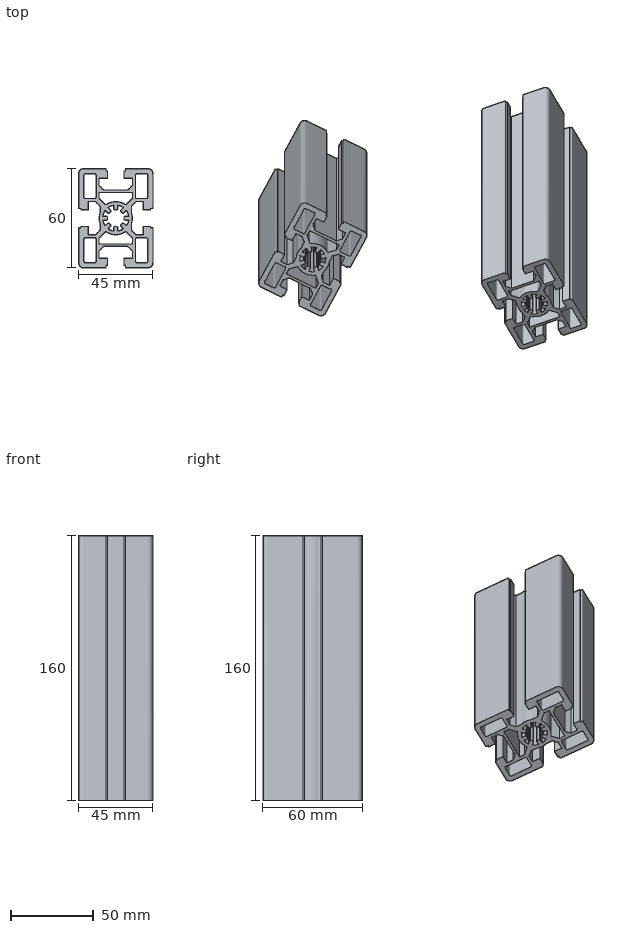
import cadquery as cq
import math

length = 160.0
size_x = 45.0
size_y = 60.0
corner_radius = 3.0

mouth_width = 10.0
step_width = 0.8
step_depth = 1.5
step_rounding = 0.5
lip_thickness = 6.0
slot_width = 20.0
slot_depth = 13.0
slot_chamfer = 2.7

outer_wall = 3.2
inner_wall = 2.0
hollow_radius = 0.8

tube_radius = 10.0
bore_radius = 7.8
tooth_count = 8
tooth_width = 2.5
tooth_tip_radius = 5.0
tooth_tip_chamfer = 0.5
web_thickness = 1.6
spoke_width = 2.9
spoke_fillet = 0.6


def prism(outline):
    """Extrude a closed outline over the full length."""
    return outline.extrude(length)


def four_corners(shape):
    """Mirror a shape from the +X +Y quadrant into all four quadrants."""
    half = shape.union(shape.mirror("YZ"))
    return half.union(half.mirror("XZ"))


def t_slot(side_distance):
    """T-slot cutter from +Y, with rounded steps along its mouth at y = side_distance."""
    mouth = mouth_width / 2
    half_width = slot_width / 2
    lip_y = side_distance - lip_thickness
    floor_y = side_distance - slot_depth
    step_x = mouth + step_width
    round_mid = step_rounding * (1 - math.sqrt(0.5))
    outline = (
        cq.Workplane("XY")
        .moveTo(step_x + step_rounding, side_distance)
        .threePointArc(
            (step_x + round_mid, side_distance - round_mid),
            (step_x, side_distance - step_rounding),
        )
        .lineTo(step_x, side_distance - step_depth)
        .lineTo(mouth, side_distance - step_depth)
        .lineTo(mouth, lip_y)
        .lineTo(half_width, lip_y)
        .lineTo(half_width, floor_y + slot_chamfer)
        .lineTo(half_width - slot_chamfer, floor_y)
        .lineTo(0, floor_y)
        .lineTo(0, side_distance)
        .close()
    )
    half_slot = prism(outline)
    return half_slot.union(half_slot.mirror("YZ"))


def corner_hollows():
    """Four rounded rectangular hollows."""
    near = slot_width / 2 + inner_wall
    far_x = size_x / 2 - outer_wall
    far_y = size_y / 2 - outer_wall
    hollow = prism(
        cq.Workplane("XY")
        .center((near + far_x) / 2, (near + far_y) / 2)
        .rect(far_x - near, far_y - near)
    )
    return four_corners(hollow.edges("|Z").fillet(hollow_radius))


def tube_cavities():
    """Two cavities between the tube, the diagonal spokes and the slot floors."""
    half_width = slot_width / 2
    top = size_y / 2 - slot_depth - web_thickness
    spoke_offset = spoke_width / math.sqrt(2)
    cavity = prism(
        cq.Workplane("XY").polyline([
            (0, spoke_offset),
            (half_width, half_width + spoke_offset),
            (half_width, top),
            (-half_width, top),
            (-half_width, half_width + spoke_offset),
        ]).close()
    )
    cavity = cavity.cut(tube())
    junction_box = cq.selectors.BoxSelector(
        (-tube_radius, 0, 0), (tube_radius, tube_radius, length)
    )
    cavity = cavity.edges("|Z").edges(junction_box).fillet(spoke_fillet)
    return cavity.union(cavity.mirror("XZ"))


def tube():
    """Solid cylinder that the toothed bore is cut from."""
    return prism(cq.Workplane("XY").circle(tube_radius))


def toothed_bore():
    """Bore cutter with chamfered teeth left standing around it."""
    bore = prism(cq.Workplane("XY").circle(bore_radius))
    tooth_length = tube_radius - tooth_tip_radius
    tooth = prism(
        cq.Workplane("XY")
        .center(tooth_tip_radius + tooth_length / 2, 0)
        .rect(tooth_length, tooth_width)
    )
    tooth = tooth.edges("|Z and <X").chamfer(tooth_tip_chamfer)
    for index in range(tooth_count):
        angle = index * 360 / tooth_count
        bore = bore.cut(tooth.rotate((0, 0, 0), (0, 0, 1), angle))
    return bore


body = prism(cq.Workplane("XY").rect(size_x, size_y)).edges("|Z").fillet(corner_radius)

for side_distance, first_angle in ((size_y / 2, 0), (size_x / 2, 90)):
    for angle in (first_angle, first_angle + 180):
        body = body.cut(t_slot(side_distance).rotate((0, 0, 0), (0, 0, 1), angle))

body = body.cut(corner_hollows())
body = body.union(tube())
body = body.cut(tube_cavities())
result = body.cut(toothed_bore())